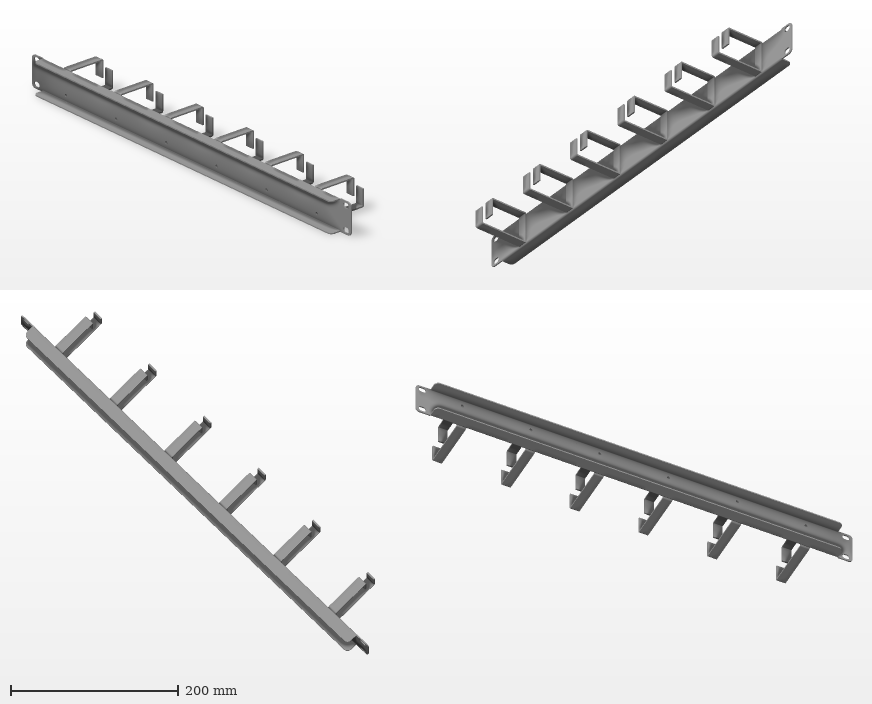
import cadquery as cq
panel_length = 583.5
panel_height = 44.0
sheet = 1.65
bend_radius = 2.5
corner_radius = 5.0

flange_length = 544.5
flange_depth = 16.5
flange_corner_radius = 6.0

slot_length = 10.0
slot_height = 7.0
slot_end_offset = 9.0
slot_edge_offset = 6.0

hole_diameter = 4.0
hole_spacing = 24.5

ring_count = 6
ring_span = 459.5
ring_width = 12.0
ring_sheet = 2.0
ring_bend_radius = 2.5
total_depth = 84.0
ring_depth = total_depth - flange_depth
lip_stagger = 15.0
top_lip_height = 24.5
bottom_lip_height = 24.5

half_height = panel_height / 2
ring_pitch = ring_span / (ring_count - 1)
ring_positions = [i * ring_pitch - ring_span / 2 for i in range(ring_count)]


def make_flanges():
    """A channel whose web is the middle of the panel and whose legs are the flanges."""
    channel = (
        cq.Workplane("XY")
        .box(flange_length, flange_depth, panel_height, centered=(True, False, True))
        .translate((0, -flange_depth, 0))
        .edges("|X and >Y")
        .fillet(bend_radius)
        .edges("|Z and <Y")
        .fillet(flange_corner_radius)
    )
    inner_height = panel_height - 2 * sheet
    cavity = (
        cq.Workplane("XY")
        .box(panel_length, flange_depth, inner_height, centered=(True, False, True))
        .translate((0, -flange_depth - sheet, 0))
        .edges("|X and >Y")
        .fillet(bend_radius - sheet)
    )
    return channel.cut(cavity)


def make_end_plates():
    """The flat, rounded ends of the panel beyond the flanges."""
    plate = (
        cq.Workplane("XY")
        .box(panel_length, sheet, panel_height, centered=(True, False, True))
        .translate((0, -sheet, 0))
        .edges("|Y")
        .fillet(corner_radius)
    )
    flanged_stretch = cq.Workplane("XY").box(flange_length, panel_height, panel_height)
    return plate.cut(flanged_stretch)


def make_panel():
    """The flanged panel with its mounting slots and its holes."""
    slot_x = panel_length / 2 - slot_end_offset
    slot_z = half_height - slot_edge_offset
    slots = (
        cq.Workplane("XZ")
        .rect(2 * slot_x, 2 * slot_z, forConstruction=True)
        .vertices()
        .slot2D(slot_length, slot_height)
        .extrude(sheet)
    )
    holes = (
        cq.Workplane("XZ")
        .pushPoints([(x, z) for x in ring_positions for z in (-hole_spacing / 2, hole_spacing / 2)])
        .circle(hole_diameter / 2)
        .extrude(sheet)
    )
    return make_flanges().union(make_end_plates()).cut(slots).cut(holes)


def round_bends(strip, bends, radius):
    """Fillet the edges of a ring strip that run along X through the given (Y, Z) points."""
    for y, z in bends:
        strip = strip.edges(cq.selectors.NearestToPointSelector((0, y, z))).fillet(radius)
    return strip


def make_ring(x):
    """A strip bent into an open loop, with a gap between its two staggered lips."""
    top_lip_y = ring_depth - lip_stagger
    strip = (
        cq.Workplane("YZ")
        .moveTo(top_lip_y, half_height - top_lip_height)
        .lineTo(top_lip_y, half_height)
        .lineTo(0, half_height)
        .lineTo(0, -half_height)
        .lineTo(ring_depth, -half_height)
        .lineTo(ring_depth, bottom_lip_height - half_height)
        .lineTo(ring_depth - ring_sheet, bottom_lip_height - half_height)
        .lineTo(ring_depth - ring_sheet, ring_sheet - half_height)
        .lineTo(ring_sheet, ring_sheet - half_height)
        .lineTo(ring_sheet, half_height - ring_sheet)
        .lineTo(top_lip_y - ring_sheet, half_height - ring_sheet)
        .lineTo(top_lip_y - ring_sheet, half_height - top_lip_height)
        .close()
        .extrude(ring_width / 2, both=True)
    )
    outer_bends = [
        (0, half_height),
        (0, -half_height),
        (top_lip_y, half_height),
        (ring_depth, -half_height),
    ]
    inner_bends = [
        (ring_sheet, half_height - ring_sheet),
        (ring_sheet, ring_sheet - half_height),
        (top_lip_y - ring_sheet, half_height - ring_sheet),
        (ring_depth - ring_sheet, ring_sheet - half_height),
    ]
    strip = round_bends(strip, outer_bends, ring_bend_radius)
    strip = round_bends(strip, inner_bends, ring_bend_radius - ring_sheet)
    return strip.translate((x, 0, 0))


panel = make_panel()
rings = [make_ring(x) for x in ring_positions]

result = cq.Compound.makeCompound([panel.val(), *[ring.val() for ring in rings]])